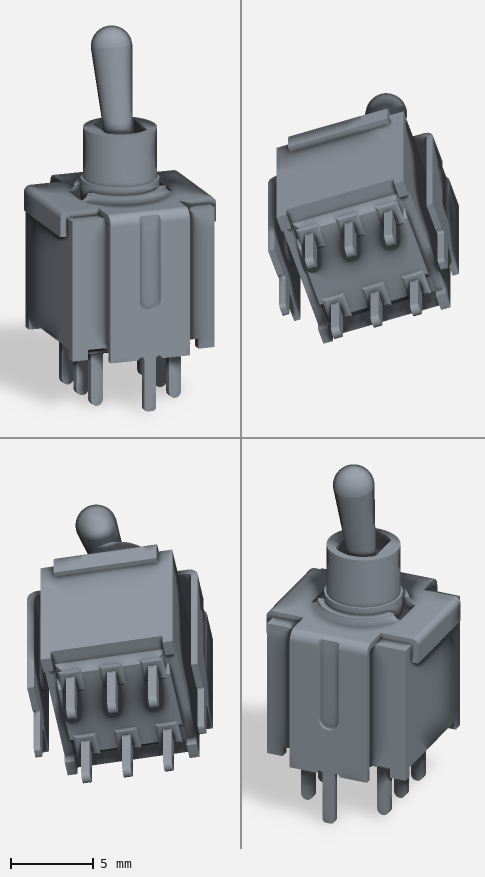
import cadquery as cq
import math


case_x, case_y, case_height = 8.15, 9.21, 8.85
foot_gap_x, foot_gap_y = 6.93, 7.18
foot_height = 0.63

seal_bottom_x, seal_bottom_z = 5.57, 0.11
seal_chamfer = 0.48
seal_bridge_y = 4.98
meniscus_margin = 0.45
meniscus_height = 0.1
meniscus_taper = 60

pin_pitch = 2.54
pin_x, pin_y = 0.52, 0.77
pin_bottom = -3.35
pin_round = 0.383

sheet = 0.4
bracket_x, bracket_y = 10.55, 10.12
leg_width, lip_width = 5.15, 6.36
leg_bend, leg_inner_bend, lip_bend = 0.63, 0.23, 0.4
plate_top = case_height + sheet
lip_bottom = 7.67
leg_pin_bottom = -3.28
leg_pin_round = 0.23
relief_radius = 0.18

bead_width, bead_depth, bead_round = 1.34, 0.18, 0.14
bead_bottom = 3.05

collar_top_radius, collar_height = 2.78, 0.4
collar_notch_width = 2.29

bushing_diameter, bushing_top = 4.5, 13.33
flange_diameter, flange_top = 4.8, 10.15
bore_diameter, bore_flats = 3.53, 2.67
bore_bottom = 10.41

total_height = 22.65
lever_tilt = 12.7
pivot_z, pivot_radius = 11.52, 1.6
tip_radius, lever_base_radius = 1.27, 0.77
tip_center_z = total_height + pin_bottom - tip_radius
lever_length = (tip_center_z - pivot_z) / math.cos(math.radians(lever_tilt))


def block(size_x, size_y, bottom, top):
    """Box centred on the Z axis between two heights."""
    return cq.Workplane("XY").workplane(offset=bottom).rect(size_x, size_y).extrude(top - bottom)


def disc(diameter, bottom, top):
    """Cylinder on the Z axis between two heights."""
    return cq.Workplane("XY").workplane(offset=bottom).circle(diameter / 2).extrude(top - bottom)


def make_case():
    """Rectangular case standing on four corner feet."""
    case = block(case_x, case_y, 0, case_height)
    case = case.cut(block(foot_gap_x, case_y, 0, foot_height))
    return case.cut(block(case_x, foot_gap_y, 0, foot_height))


def make_seal():
    """Sealing compound below the case: sloping in on all sides, with a full-width bridge."""
    chamfered = block(foot_gap_x, foot_gap_y, seal_bottom_z, foot_height)
    chamfered = chamfered.faces("<Z").edges("|X").chamfer(seal_chamfer)
    sloped = (
        cq.Workplane("XY").workplane(offset=foot_height).rect(foot_gap_x, foot_gap_y)
        .workplane(offset=seal_bottom_z - foot_height).rect(seal_bottom_x, foot_gap_y)
        .loft()
    )
    bridge = block(foot_gap_x, seal_bridge_y, seal_bottom_z, foot_height)
    bridge = bridge.faces("<Z").edges("|X").chamfer(seal_chamfer)
    return chamfered.intersect(sloped).union(bridge)


def make_pins():
    """Two rows of three round-ended pins, each with a low meniscus of seal."""
    pin = block(pin_x, pin_y, pin_bottom, foot_height)
    pin = pin.faces("<Z").edges("|X").fillet(pin_round)
    meniscus = (
        cq.Workplane("XY").workplane(offset=seal_bottom_z)
        .rect(pin_x + 2 * meniscus_margin, pin_y + 2 * meniscus_margin)
        .extrude(-meniscus_height, taper=meniscus_taper)
    )
    terminal = pin.union(meniscus)
    pins = cq.Workplane("XY")
    for column in (-1, 0, 1):
        for row in (-1, 1):
            pins = pins.union(terminal.translate((column * pin_pitch, row * pin_pitch, 0)))
    return pins


def make_leg_strap():
    """Top plate with a wide leg on each X side, ending in a narrow solder pin."""
    strap = block(bracket_x, leg_width, leg_pin_bottom, plate_top)
    strap = strap.edges("|Y and >Z").fillet(leg_bend)
    inside = block(bracket_x - 2 * sheet, leg_width, leg_pin_bottom, case_height)
    strap = strap.cut(inside.edges("|Y and >Z").fillet(leg_inner_bend))
    for side in (-1, 1):
        shoulder_y = (leg_width + pin_y) / 4
        shoulder = block(bracket_x, (leg_width - pin_y) / 2, leg_pin_bottom, 0)
        strap = strap.cut(shoulder.translate((0, side * shoulder_y, 0)))
        relief_y = side * (pin_y / 2 + relief_radius)
        relief = cq.Workplane("YZ").center(relief_y, 0).circle(relief_radius)
        strap = strap.cut(relief.extrude(bracket_x / 2, both=True))
    return strap.faces("<Z").edges("|X").fillet(leg_pin_round)


def make_bead(top):
    """Round-ended bead, extruded toward +X, with a rounded edge along its floor."""
    radius = bead_width / 2
    center_z = bead_bottom + radius
    return (
        cq.Workplane("YZ")
        .moveTo(-radius, top)
        .lineTo(-radius, center_z)
        .threePointArc((0, bead_bottom), (radius, center_z))
        .lineTo(radius, top)
        .close()
        .extrude(bead_depth)
        .faces(">X").edges("not >Z").fillet(bead_round)
    )


def make_bracket():
    """Cross-shaped bracket: beaded legs on the X sides, short lips on the Y sides."""
    lips = block(lip_width, bracket_y, lip_bottom, plate_top)
    lips = lips.edges("|X and >Z").fillet(lip_bend)
    lips = lips.cut(block(lip_width, bracket_y - 2 * sheet, lip_bottom, case_height))
    bracket = make_leg_strap().union(lips)

    ridge = make_bead(case_height).translate((sheet - bracket_x / 2, 0, 0))
    groove = make_bead(plate_top + bead_width).translate((-bracket_x / 2, 0, 0))
    bracket = bracket.union(ridge).union(ridge.mirror("YZ"))
    return bracket.cut(groove).cut(groove.mirror("YZ"))


def make_collar():
    """Ring around the bushing with a concave flare down to the plate."""
    top = plate_top + collar_height
    foot_radius = collar_top_radius + collar_height
    sag = collar_height * (1 - math.sqrt(0.5))
    return (
        cq.Workplane("XZ")
        .moveTo(0, plate_top)
        .lineTo(foot_radius, plate_top)
        .threePointArc((collar_top_radius + sag, plate_top + sag), (collar_top_radius, top))
        .lineTo(0, top)
        .close()
        .revolve(360, (0, 0, 0), (0, 1, 0))
    )


def make_collar_notches():
    """Tool that cuts the collar on both Y sides, and the plate as far as the collar reaches."""
    foot_radius = collar_top_radius + collar_height
    reach = math.sqrt(foot_radius**2 - (collar_notch_width / 2) ** 2)
    through_plate = block(collar_notch_width, 2 * reach, case_height, plate_top)
    through_collar = block(collar_notch_width, 2 * foot_radius, plate_top, plate_top + collar_height)
    return through_plate.union(through_collar)


def make_bushing():
    """Stepped bushing standing on the plate."""
    return disc(flange_diameter, case_height, flange_top).union(
        disc(bushing_diameter, flange_top, bushing_top)
    )


def make_bore():
    """Round bore with two flats facing Y."""
    flats = block(bore_diameter, bore_flats, bore_bottom, bushing_top)
    return disc(bore_diameter, bore_bottom, bushing_top).intersect(flats)


def make_lever():
    """Lever leaning to -X: pivot ball and a widening shank with a hemispherical tip."""
    tip_mid = tip_radius * math.sqrt(0.5)
    stick = (
        cq.Workplane("XZ")
        .lineTo(lever_base_radius, 0)
        .lineTo(tip_radius, lever_length)
        .threePointArc((tip_mid, lever_length + tip_mid), (0, lever_length + tip_radius))
        .close()
        .revolve(360, (0, 0, 0), (0, 1, 0))
        .rotate((0, 0, 0), (0, 1, 0), -lever_tilt)
    )
    pivot = cq.Workplane("XY").sphere(pivot_radius)
    return stick.union(pivot).translate((0, 0, pivot_z))


body = make_case().union(make_seal()).union(make_pins())
housing = make_bracket().union(make_collar()).cut(make_collar_notches())
housing = housing.union(make_bushing()).cut(make_bore())
result = body.union(housing).union(make_lever())